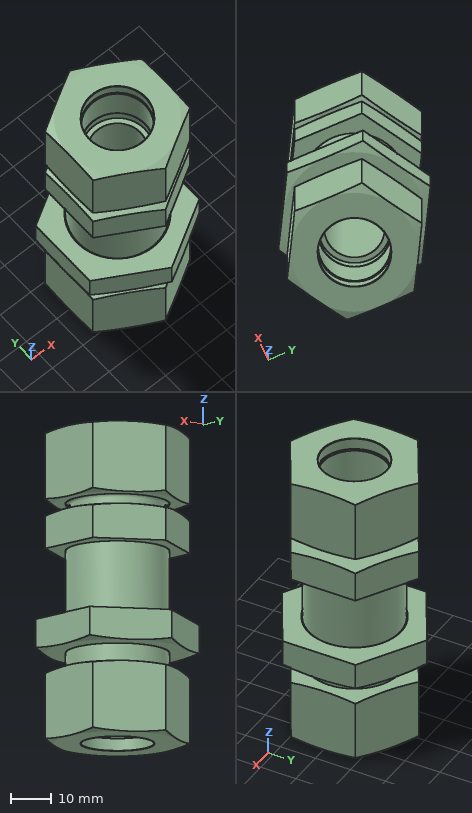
import cadquery as cq
import math


total_length = 79.0

hex_sides = 6
half_side_angle = math.pi / hex_sides
union_across_flats = 31.9
lock_across_flats = 36.0
corner_chamfer_angle = 15.0
chamfer_circle_inset = 0.1

thread_diameter = 26.0
tube_bore_diameter = 18.0
through_bore_diameter = 15.0
body_hex_bottom = 49.0
body_hex_top = 58.0
body_end_depth = 8.5
tube_stop_depth = 16.0
neck_diameter = 23.7
neck_length = 3.4
neck_fillet = 0.95
mouth_diameter = 20.3
mouth_half_angle = 12.0

lock_nut_bottom = 23.0
lock_nut_height = 8.0
lock_nut_countersink = 0.3

union_nut_height = 18.0
entry_diameter = 18.25
entry_chamfer = 0.12
entry_depth = 3.15

ring_diameter = 23.0
ring_gap = 0.55
ring_tip_wall = 0.1

thread_radius = thread_diameter / 2
tube_bore_radius = tube_bore_diameter / 2
through_bore_radius = through_bore_diameter / 2
neck_radius = neck_diameter / 2
mouth_radius = mouth_diameter / 2
entry_radius = entry_diameter / 2
ring_radius = ring_diameter / 2

body_bottom = body_end_depth
body_top = total_length - body_end_depth
union_nut_bottom = total_length - union_nut_height
mouth_slope = math.tan(math.radians(mouth_half_angle))
mouth_length = (mouth_radius - tube_bore_radius) / mouth_slope
ring_tip_radius = tube_bore_radius + ring_tip_wall
ring_tip_length = (mouth_radius - ring_tip_radius) / mouth_slope
cone_top = total_length - entry_depth
cone_bottom = cone_top - (ring_radius - entry_radius)


def revolve(outline):
    """Turn a closed (radius, z) outline about the Z axis."""
    return outline.close().revolve(360, (0, 0, 0), (0, 1, 0))


def turned(points):
    return revolve(cq.Workplane("XZ").polyline(points))


def mirrored(shape):
    """The same shape at the other end of the fitting."""
    return shape.mirror("XY", (0, 0, total_length / 2))


def hexagon(across_flats, bottom, top, chamfer_bottom, chamfer_top):
    """Hexagonal prism whose corners are turned off conically at the chosen ends."""
    corner_radius = across_flats / 2 / math.cos(half_side_angle)
    circle_radius = across_flats / 2 - chamfer_circle_inset
    drop = (corner_radius - circle_radius) * math.tan(math.radians(corner_chamfer_angle))
    lower_edge = bottom + drop
    upper_edge = top - drop
    prism = (
        cq.Workplane("XY", origin=(0, 0, bottom))
        .polygon(hex_sides, 2 * corner_radius)
        .extrude(top - bottom)
        .rotate((0, 0, 0), (0, 0, 1), math.degrees(half_side_angle))
    )
    envelope = turned([
        (0, bottom),
        (circle_radius if chamfer_bottom else corner_radius, bottom),
        (corner_radius, lower_edge),
        (corner_radius, upper_edge),
        (circle_radius if chamfer_top else corner_radius, top),
        (0, top),
    ])
    return prism.intersect(envelope)


def neck_groove():
    """Relief groove above the body hexagon, with a fillet at each end of its floor."""
    groove_top = body_hex_top + neck_length
    outer_radius = union_across_flats
    arc_offset = neck_fillet * (1 - math.sqrt(0.5))
    return revolve(
        cq.Workplane("XZ")
        .moveTo(outer_radius, body_hex_top)
        .lineTo(neck_radius + neck_fillet, body_hex_top)
        .threePointArc(
            (neck_radius + arc_offset, body_hex_top + arc_offset),
            (neck_radius, body_hex_top + neck_fillet),
        )
        .lineTo(neck_radius, groove_top - neck_fillet)
        .threePointArc(
            (neck_radius + arc_offset, groove_top - arc_offset),
            (neck_radius + neck_fillet, groove_top),
        )
        .lineTo(outer_radius, groove_top)
    )


def tube_socket():
    """Hollow of the upper body end: conical mouth and tube bore down to the stop."""
    stop = total_length - tube_stop_depth
    return turned([
        (0, body_top),
        (mouth_radius, body_top),
        (tube_bore_radius, body_top - mouth_length),
        (tube_bore_radius, stop),
        (0, stop),
    ])


def make_body():
    shank = (
        cq.Workplane("XY", origin=(0, 0, body_bottom))
        .circle(thread_radius)
        .extrude(body_top - body_bottom)
    )
    grip = hexagon(union_across_flats, body_hex_bottom, body_hex_top, False, True)
    through_bore = cq.Workplane("XY").circle(through_bore_radius).extrude(total_length)
    socket = tube_socket()
    return shank.union(grip).cut(neck_groove()).cut(through_bore).cut(socket).cut(mirrored(socket))


def make_lock_nut():
    top = lock_nut_bottom + lock_nut_height
    blank = hexagon(lock_across_flats, lock_nut_bottom, top, True, False)
    thread_hole = turned([
        (0, lock_nut_bottom),
        (thread_radius, lock_nut_bottom),
        (thread_radius, top - lock_nut_countersink),
        (thread_radius + lock_nut_countersink, top),
        (0, top),
    ])
    return blank.cut(thread_hole)


def make_union_nut():
    """Union nut of the upper end."""
    blank = hexagon(union_across_flats, union_nut_bottom, total_length, True, True)
    hollow = turned([
        (0, total_length),
        (entry_radius + entry_chamfer, total_length),
        (entry_radius, total_length - entry_chamfer),
        (entry_radius, cone_top),
        (ring_radius, cone_bottom),
        (ring_radius, body_top),
        (thread_radius, body_top),
        (thread_radius, union_nut_bottom),
        (0, union_nut_bottom),
    ])
    return blank.cut(hollow)


def make_cutting_ring():
    """Cutting ring of the upper end, between the cone of the nut and the mouth of the body."""
    ring_top = cone_top - ring_gap
    ring_tip = body_top - ring_tip_length
    return turned([
        (tube_bore_radius, ring_top),
        (entry_radius + ring_gap, ring_top),
        (ring_radius, cone_bottom),
        (ring_radius, body_top),
        (mouth_radius, body_top),
        (ring_tip_radius, ring_tip),
        (tube_bore_radius, ring_tip),
    ])


body = make_body()
lock_nut = make_lock_nut()
solids = [body.solids().val(), lock_nut.solids().val()]
for make_end_part in (make_union_nut, make_cutting_ring):
    upper_part = make_end_part()
    lower_part = mirrored(upper_part)
    solids += [upper_part.solids().val(), lower_part.solids().val()]

result = cq.Compound.makeCompound(solids)